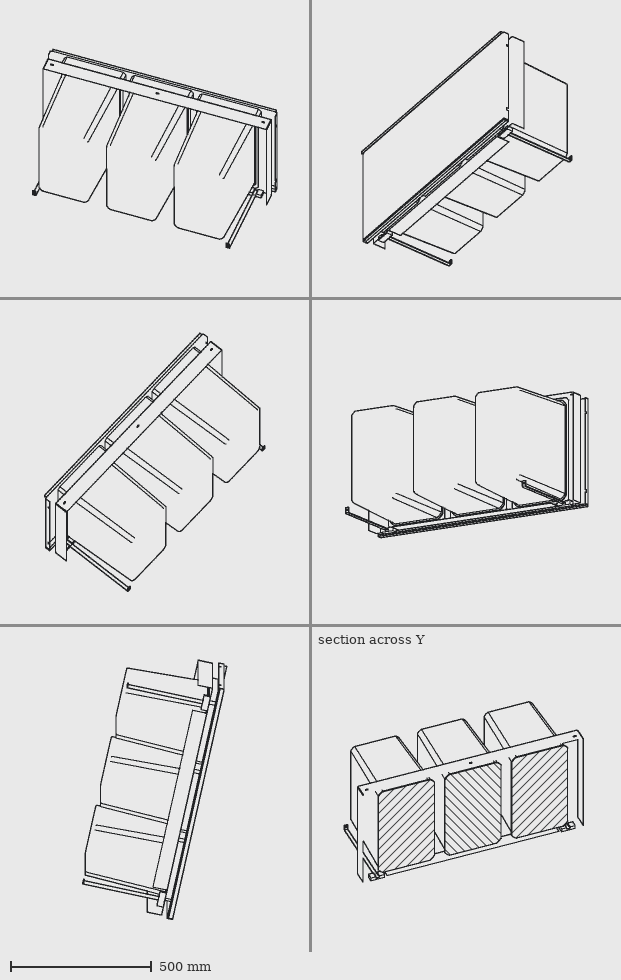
import cadquery as cq
import math


TOP = 402.0
BOTTOM = 0.0
DEPTH = 350.0

SHEET = 1.0

PANEL_WIDTH = 860.0
PANEL_BEND = 3.0
PANEL_BACK = -10.0
PANEL_FRONT = -31.0
PANEL_SIDE_TOP = 396.5
LIP_WIDTH = 846.0
LIP_TOP = 399.0
LIP_DROP = 13.0
LIP_BEND = 3.0
TOE_TOP = 8.0
TOE_BREAK = -26.0
NOTCH_DEPTH = 8.0
NOTCHES = [(342.0, 5.0), (54.0, 10.0)]

FRAME_WIDTH = 848.0
FRAME_BEND = 3.0
FRAME_BACK = -52.0
FRAME_FRONT = -104.0
FRAME_BOTTOM = 5.0
FLANGE_WIDTH = 660.5
CORNER_RELIEF = 3.0
SLOT_SPACING = 400.0
SLOT_LENGTH = 10.0
SLOT_WIDTH = 4.0
SLOT_Y = -75.0
plate_front = FRAME_BACK - SHEET

BIN_SPACING = 256.0
BIN_CENTRES = [-BIN_SPACING, 0.0, BIN_SPACING]
BIN_BACK = -21.0
BIN_END = -347.5
ROOT_CORNER = 18.0
END_CORNER = 15.5
CORNER_BULGE = 2.0
BIN_END_ROUND = 4.0
COLLAR_WIDTH = 233.0
COLLAR_BOTTOM = 15.5
COLLAR_CHAMFER = 10.0
RIM_DEPTH = 3.5
RIM_WIDTH = 217.0
RIM_HEIGHT = 368.0
ROOT_WIDTH = 210.0
ROOT_HEIGHT = 358.0
END_WIDTH = 187.5
END_HEIGHT = 341.0
collar_top = TOP - SHEET
collar_height = collar_top - COLLAR_BOTTOM
bin_z = (collar_top + COLLAR_BOTTOM) / 2

RAIL_X = 366.0
RAIL_WIDTH = 13.0
RAIL_SHEET = 3.5
RAIL_BOTTOM = 6.0
RAIL_BEND = 6.0
RAIL_TIP_TOP = 28.0
EYE_WIDTH = 8.0
EYE_HEIGHT = 4.0
EYE_Z = 20.0
CLIP_WIDTH = 52.5
CLIP_TOP = 15.0
CLIP_FRONT = -76.0


def block(x0, x1, y0, y1, z0, z1):
    """Box between two opposite corners."""
    size = (x1 - x0, y1 - y0, z1 - z0)
    return cq.Workplane("XY").box(*size, centered=False).translate((x0, y0, z0))


def centred_block(width, y0, y1, z0, z1):
    """Box of the given width, symmetric about X = 0."""
    return block(-width / 2, width / 2, y0, y1, z0, z1)


def side_profile(points, width):
    """Extrudes a closed (Y, Z) outline symmetrically along X."""
    return cq.Workplane("YZ").polyline(points).close().extrude(width / 2, both=True)


def make_panel():
    back_edges = "|Z and >Y"
    inner_width = PANEL_WIDTH - 2 * SHEET
    inner_back = PANEL_BACK - SHEET
    outer = centred_block(PANEL_WIDTH, PANEL_FRONT, PANEL_BACK, BOTTOM, PANEL_SIDE_TOP)
    inner = centred_block(inner_width, PANEL_FRONT, inner_back, BOTTOM, PANEL_SIDE_TOP)
    panel = outer.edges(back_edges).fillet(PANEL_BEND)
    panel = panel.cut(inner.edges(back_edges).fillet(PANEL_BEND - SHEET))

    hook = [
        (inner_back, PANEL_SIDE_TOP - SHEET),
        (inner_back, LIP_TOP),
        (0, LIP_TOP),
        (0, LIP_TOP - LIP_DROP),
        (-SHEET, LIP_TOP - LIP_DROP),
        (-SHEET, LIP_TOP - SHEET),
        (PANEL_BACK, LIP_TOP - SHEET),
        (PANEL_BACK, PANEL_SIDE_TOP - SHEET),
    ]
    lip = side_profile(hook, LIP_WIDTH)
    outside = (0, 0, LIP_TOP)
    inside = (0, -SHEET, LIP_TOP - SHEET)
    lip = lip.edges(cq.NearestToPointSelector(outside)).fillet(LIP_BEND)
    lip = lip.edges(cq.NearestToPointSelector(inside)).fillet(LIP_BEND - SHEET)
    panel = panel.union(lip)

    toe = [
        (inner_back, TOE_TOP),
        (TOE_BREAK, TOE_TOP),
        (PANEL_FRONT, BOTTOM),
        (PANEL_FRONT + SHEET, BOTTOM),
        (TOE_BREAK + SHEET, TOE_TOP - SHEET),
        (inner_back, TOE_TOP - SHEET),
    ]
    panel = panel.union(side_profile(toe, inner_width))

    for notch_z, height in NOTCHES:
        notch = centred_block(
            PANEL_WIDTH,
            PANEL_FRONT,
            PANEL_FRONT + NOTCH_DEPTH,
            notch_z - height / 2,
            notch_z + height / 2,
        )
        panel = panel.cut(notch)
    return panel


def make_collar(bin_x):
    """Chamfered block that carries a bin through the frame plate."""
    return (
        cq.Workplane("XZ", origin=(bin_x, BIN_BACK, bin_z))
        .rect(COLLAR_WIDTH, collar_height)
        .extrude(BIN_BACK - plate_front)
        .edges("|Y")
        .chamfer(COLLAR_CHAMFER)
    )


def make_frame():
    bends = ">X or <X or >Z"
    inner_width = FRAME_WIDTH - 2 * SHEET
    inner_top = TOP - SHEET
    outer = centred_block(FRAME_WIDTH, FRAME_FRONT, FRAME_BACK, FRAME_BOTTOM, TOP)
    inner = centred_block(inner_width, FRAME_FRONT, plate_front, FRAME_BOTTOM, inner_top)
    frame = outer.faces(">Y").edges(bends).fillet(FRAME_BEND)
    frame = frame.cut(inner.faces(">Y").edges(bends).fillet(FRAME_BEND - SHEET))

    half = FRAME_WIDTH / 2
    for x0 in (-half, half - CORNER_RELIEF):
        relief = block(x0, x0 + CORNER_RELIEF, FRAME_FRONT, FRAME_BACK, TOP - CORNER_RELIEF, TOP)
        frame = frame.cut(relief)

    flange = centred_block(FLANGE_WIDTH, FRAME_FRONT, plate_front, FRAME_BOTTOM, FRAME_BOTTOM + SHEET)
    frame = frame.union(flange)

    for bin_x in BIN_CENTRES:
        frame = frame.cut(make_collar(bin_x))

    slots = (
        cq.Workplane("XY", origin=(0, SLOT_Y, TOP))
        .pushPoints([(-SLOT_SPACING, 0), (0, 0), (SLOT_SPACING, 0)])
        .slot2D(SLOT_LENGTH, SLOT_WIDTH)
        .extrude(-SHEET)
    )
    return frame.cut(slots)


def bin_section(bin_x, y, width, height, corner):
    """Closed rectangle at depth y whose cut corners bulge outwards slightly."""
    half_width = width / 2
    half_height = height / 2
    arc_inset = (corner - CORNER_BULGE * math.sqrt(2)) / 2
    outline = cq.Workplane("XZ", origin=(bin_x, y, bin_z))
    outline = outline.moveTo(half_width, half_height - corner)
    for x_side, z_side in ((1, 1), (-1, 1), (-1, -1), (1, -1)):
        on_side = (x_side * half_width, z_side * (half_height - corner))
        on_end = (x_side * (half_width - corner), z_side * half_height)
        middle = (x_side * (half_width - arc_inset), z_side * (half_height - arc_inset))
        if x_side == z_side:
            start, finish = on_side, on_end
        else:
            start, finish = on_end, on_side
        if (x_side, z_side) != (1, 1):
            outline = outline.lineTo(*start)
        outline = outline.threePointArc(middle, finish)
    return outline.close()


def make_bin(bin_x):
    """Collar, stepped rim and tapered body with a rounded end."""
    rim = bin_section(bin_x, plate_front, RIM_WIDTH, RIM_HEIGHT, ROOT_CORNER).extrude(RIM_DEPTH)
    root = bin_section(bin_x, plate_front, ROOT_WIDTH, ROOT_HEIGHT, ROOT_CORNER).val()
    end = bin_section(bin_x, BIN_END, END_WIDTH, END_HEIGHT, END_CORNER).val()
    body = cq.Workplane(cq.Solid.makeLoft([root, end], True))
    body = body.faces("<Y").edges().fillet(BIN_END_ROUND)
    return make_collar(bin_x).union(rim).union(body)


def make_rail(rail_x):
    """Flat bar running to -Y with an upturned tip that has an eye."""
    rail_top = RAIL_BOTTOM + RAIL_SHEET
    outline = [
        (plate_front, RAIL_BOTTOM),
        (-DEPTH, RAIL_BOTTOM),
        (-DEPTH, RAIL_TIP_TOP),
        (-DEPTH + RAIL_SHEET, RAIL_TIP_TOP),
        (-DEPTH + RAIL_SHEET, rail_top),
        (plate_front, rail_top),
    ]
    eye = centred_block(
        EYE_WIDTH, -DEPTH, -DEPTH + RAIL_SHEET, EYE_Z - EYE_HEIGHT / 2, EYE_Z + EYE_HEIGHT / 2
    )
    rail = side_profile(outline, RAIL_WIDTH)
    rail = rail.edges("|X and <Y and <Z").fillet(RAIL_BEND)
    return rail.cut(eye).translate((rail_x, 0, 0))


def make_clip(rail_x):
    """Block on the frame plate, with an open channel in which the rail lies."""
    clip = centred_block(CLIP_WIDTH, CLIP_FRONT, plate_front, BOTTOM, CLIP_TOP)
    channel = centred_block(RAIL_WIDTH, CLIP_FRONT, plate_front, RAIL_BOTTOM, CLIP_TOP)
    return clip.cut(channel).translate((rail_x, 0, 0))


panel = make_panel()
frame = make_frame()
bins = [make_bin(bin_x).val() for bin_x in BIN_CENTRES]
rails = []
clips = []
for rail_x in (-RAIL_X, RAIL_X):
    rails.append(make_rail(rail_x).val())
    clips.append(make_clip(rail_x).val())

result = cq.Compound.makeCompound([panel.val(), frame.val(), *bins, *rails, *clips])